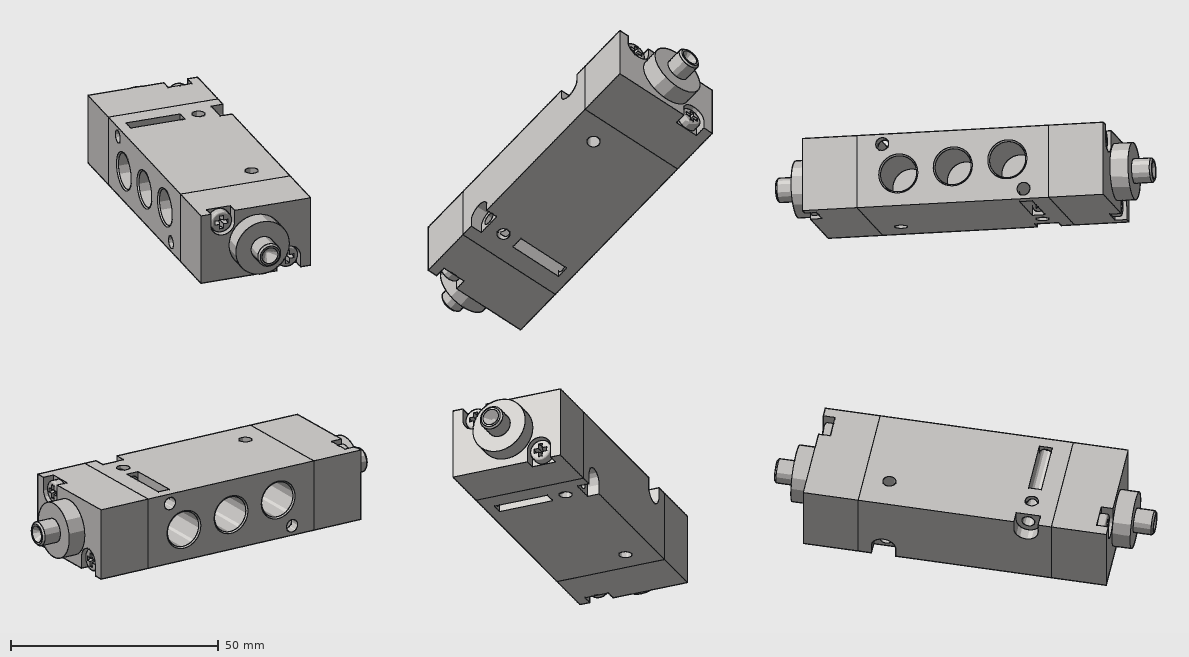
import cadquery as cq

overall_length = 93.1
body_width = 28.5
body_height = 18.0
half_width = body_width / 2
half_height = body_height / 2

cap_length = 13.5
flange_length = 4.5
stem_length = 4.8
housing_length = overall_length - 2 * (cap_length + flange_length + stem_length)
half_housing = housing_length / 2

port_diameter = 8.9
port_chamfer = 0.4
port_depth = 14.0
port_spacing = 13.5
port_rise = 1.0

mount_diameter = 3.2
mount_x = 17.5
cross_hole_z = 6.5
vertical_hole_y = 6.7
counterbore_diameter = 6.0
counterbore_depth = 3.1
slot_length = 14.1
slot_center_y = -4.5

flange_diameter = 13.9
stem_diameter = 6.0
stem_chamfer = 0.5
stem_cone_diameter = 4.1
stem_cone_depth = 2.4

screw_y = 8.6
screw_z = 6.05
screw_recess_diameter = 6.1
screw_recess_depth = 2.9
screw_head_diameter = 5.5
screw_head_height = 2.1
screw_head_fillet = 0.6
cross_length = 3.35
cross_width = 1.0
cross_depth = 2.05


def box_between(low, high):
    """Axis-aligned box given two opposite corners."""
    size = [b - a for a, b in zip(low, high)]
    return cq.Workplane("XY").box(*size, centered=False).translate(low)


def rod(diameter, start, direction, length):
    """Cylinder from a start point along a direction."""
    return cq.Workplane(cq.Solid.makeCylinder(diameter / 2, length, cq.Vector(*start), cq.Vector(*direction)))


def half_turn(shape, axis):
    """Copy of a shape turned half way round an axis through the origin."""
    return shape.rotate((0, 0, 0), axis, 180)


def make_port(index):
    """Blind round port with a chamfered mouth; index runs -1, 0, 1 from left to right."""
    mouth = (index * port_spacing, -half_width, index * port_rise)
    bore = rod(port_diameter, mouth, (0, 1, 0), port_depth)
    chamfer = cq.Workplane(
        cq.Solid.makeCone(
            port_diameter / 2 + port_chamfer,
            port_diameter / 2,
            port_chamfer,
            cq.Vector(*mouth),
            cq.Vector(0, 1, 0),
        )
    )
    return bore.union(chamfer)


def make_cross_mount():
    """Upper left hole along Y, with its slot in the top face and its open counterbore at the back."""
    hole = rod(mount_diameter, (-mount_x, -half_width, cross_hole_z), (0, 1, 0), body_width)
    slot = box_between(
        (-mount_x - mount_diameter / 2, slot_center_y - slot_length / 2, cross_hole_z),
        (-mount_x + mount_diameter / 2, slot_center_y + slot_length / 2, half_height),
    )
    seat_y = half_width - counterbore_depth
    counterbore = rod(counterbore_diameter, (-mount_x, seat_y, cross_hole_z), (0, 1, 0), counterbore_depth)
    opening = box_between(
        (-mount_x - counterbore_diameter / 2, seat_y, cross_hole_z),
        (-mount_x + counterbore_diameter / 2, half_width, half_height),
    )
    return hole.union(slot).union(counterbore).union(opening)


def make_housing():
    housing = cq.Workplane("XY").box(housing_length, body_width, body_height)
    for index in (-1, 0, 1):
        housing = housing.cut(make_port(index))
    for x in (-mount_x, mount_x):
        housing = housing.cut(rod(mount_diameter, (x, vertical_hole_y, -half_height), (0, 0, 1), body_height))
    cross_mount = make_cross_mount()
    return housing.cut(cross_mount).cut(half_turn(cross_mount, (0, 1, 0)))


def make_actuator(cap_face):
    """Flange and stem with a conical center recess on the outer face of the left cap."""
    flange = rod(flange_diameter, (cap_face, 0, 0), (-1, 0, 0), flange_length)
    flange_face = cap_face - flange_length
    stem = rod(stem_diameter, (flange_face, 0, 0), (-1, 0, 0), stem_length)
    stem = stem.faces("<X").chamfer(stem_chamfer)
    tip = flange_face - stem_length
    cone = cq.Workplane(
        cq.Solid.makeCone(stem_cone_diameter / 2, 0, stem_cone_depth, cq.Vector(tip, 0, 0), cq.Vector(1, 0, 0))
    )
    return flange.union(stem).cut(cone)


def make_screw_recess(cap_face):
    """Round screw recess, open to the top face."""
    seat_x = cap_face + screw_recess_depth
    pocket = rod(screw_recess_diameter, (seat_x, screw_y, screw_z), (-1, 0, 0), screw_recess_depth)
    opening = box_between(
        (cap_face, screw_y - screw_recess_diameter / 2, screw_z),
        (seat_x, screw_y + screw_recess_diameter / 2, half_height),
    )
    return pocket.union(opening)


def make_screw_head(cap_face):
    """Rounded screw head with a cross of two V grooves, standing on the recess floor."""
    seat_x = cap_face + screw_recess_depth
    head = rod(screw_head_diameter, (seat_x, screw_y, screw_z), (-1, 0, 0), screw_head_height)
    head = head.faces("<X").fillet(screw_head_fillet)
    head_face = seat_x - screw_head_height
    groove = (
        cq.Workplane("XY")
        .polyline([(0, -cross_width / 2), (cross_depth, 0), (0, cross_width / 2)])
        .close()
        .extrude(cross_length / 2, both=True)
    )
    for angle in (0, 90):
        arm = groove.rotate((0, 0, 0), (1, 0, 0), angle).translate((head_face, screw_y, screw_z))
        head = head.cut(arm)
    return head


def make_left_cap():
    cap_face = -half_housing - cap_length
    cap = box_between((cap_face, -half_width, -half_height), (-half_housing, half_width, half_height))
    recess = make_screw_recess(cap_face)
    head = make_screw_head(cap_face)
    cap = cap.cut(recess).cut(half_turn(recess, (1, 0, 0)))
    cap = cap.union(make_actuator(cap_face))
    return cap.union(head).union(half_turn(head, (1, 0, 0)))


housing = make_housing()
left_cap = make_left_cap()
right_cap = half_turn(left_cap, (0, 0, 1))

result = cq.Compound.makeCompound([housing.val(), left_cap.val(), right_cap.val()])